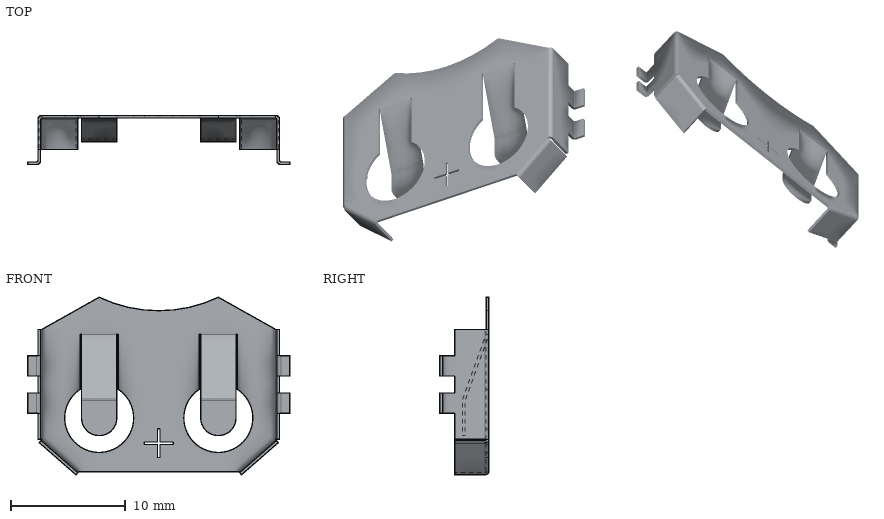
import cadquery as cq
import math

thickness = 0.25
inner_radius = 0.1
outer_radius = inner_radius + thickness

bottom_half_width = 7.0
half_width = 10.2
lower_corner_z = 2.8
wall_top_z = 12.44
peak_x = 5.2
peak_z = 15.245
arc_bottom_z = 14.07

wall_flap_gap = 0.04
wall_bottom_z = lower_corner_z + wall_flap_gap
wall_depth = 3.0
total_depth = 4.3
foot_reach = 11.45
foot_width = 1.8
foot_centers_z = (6.0, 9.25)

spring_x = peak_x
window_radius = 3.0
window_center_z = 4.7
slot_width = 3.3
slot_top_z = 12.0
tongue_width = 3.1
tongue_depth = 2.32
tongue_flat_top_z = 6.22

cross_length = 2.5
cross_width = 0.2
cross_center_z = 2.5


def plate_plane():
    """Sketch plane on the rear face: sketch axes are X and Z, extrusion runs towards -Y."""
    return cq.Workplane("XZ")


def point_on_circle(center, radius, angle):
    """Point on a circle at the given angle, in radians."""
    return (center[0] + radius * math.cos(angle), center[1] + radius * math.sin(angle))


def make_plate():
    return (
        plate_plane()
        .moveTo(-bottom_half_width, 0)
        .lineTo(bottom_half_width, 0)
        .lineTo(half_width, lower_corner_z)
        .lineTo(half_width, wall_top_z)
        .lineTo(peak_x, peak_z)
        .threePointArc((0, arc_bottom_z), (-peak_x, peak_z))
        .lineTo(-half_width, wall_top_z)
        .lineTo(-half_width, lower_corner_z)
        .close()
        .extrude(thickness)
    )


def make_window(center_x):
    circle = plate_plane().center(center_x, window_center_z).circle(window_radius).extrude(thickness)
    slot_height = slot_top_z - window_center_z
    slot = (
        plate_plane()
        .center(center_x, window_center_z + slot_height / 2)
        .rect(slot_width, slot_height)
        .extrude(thickness)
    )
    return circle.union(slot)


def make_cross():
    center = plate_plane().center(0, cross_center_z)
    upright = center.rect(cross_width, cross_length).extrude(thickness)
    level = center.rect(cross_length, cross_width).extrude(thickness)
    return upright.union(level)


def edge_plane(start, end):
    """Plane across a plate edge: local x points out of the plate, local y towards -Y."""
    length = math.dist(start, end)
    along_x = (end[0] - start[0]) / length
    along_z = (end[1] - start[1]) / length
    return cq.Plane(
        origin=(start[0], 0, start[1]),
        xDir=(-along_z, 0, along_x),
        normal=(along_x, 0, along_z),
    )


def make_flange(start, end):
    """Wall bent forward by 90 degrees along the plate edge from start to end."""
    bend_center = (0, outer_radius)
    wall_inside = inner_radius
    middle_angle = -math.pi / 4
    return (
        cq.Workplane(edge_plane(start, end))
        .moveTo(0, 0)
        .threePointArc(point_on_circle(bend_center, outer_radius, middle_angle), (outer_radius, outer_radius))
        .lineTo(outer_radius, wall_depth)
        .lineTo(wall_inside, wall_depth)
        .lineTo(wall_inside, outer_radius)
        .threePointArc(point_on_circle(bend_center, inner_radius, middle_angle), (0, thickness))
        .close()
        .extrude(math.dist(start, end))
    )


def make_foot(center_z):
    """Solder foot: runs on forward from the right wall, then bends outward by 90 degrees."""
    top = (half_width, center_z + foot_width / 2)
    bottom = (half_width, center_z - foot_width / 2)
    wall_inside = inner_radius
    wall_outside = outer_radius
    bend_center = (wall_outside + inner_radius, total_depth - outer_radius)
    reach = foot_reach - half_width
    middle_angle = 3 * math.pi / 4
    return (
        cq.Workplane(edge_plane(top, bottom))
        .moveTo(wall_outside, wall_depth)
        .lineTo(wall_outside, bend_center[1])
        .threePointArc(
            point_on_circle(bend_center, inner_radius, middle_angle),
            (bend_center[0], total_depth - thickness),
        )
        .lineTo(reach, total_depth - thickness)
        .lineTo(reach, total_depth)
        .lineTo(bend_center[0], total_depth)
        .threePointArc(
            point_on_circle(bend_center, outer_radius, middle_angle),
            (wall_inside, bend_center[1]),
        )
        .lineTo(wall_inside, wall_depth)
        .close()
        .extrude(foot_width)
    )


def make_tongue_strip(center_x):
    """Strip of sheet that leans forward from the slot top, then runs parallel to the plate."""
    tip_z = window_center_z - tongue_width / 2
    upper_center = (-outer_radius, slot_top_z)
    lower_center = (outer_radius - tongue_depth, tongue_flat_top_z)

    step_y = lower_center[0] - upper_center[0]
    drop = upper_center[1] - lower_center[1]
    tilt = math.asin((inner_radius + outer_radius) / math.hypot(step_y, drop)) - math.atan2(step_y, drop)
    lower_start = math.pi - tilt
    lower_middle = math.pi - tilt / 2

    return (
        cq.Workplane("YZ", origin=(center_x, 0, 0))
        .moveTo(0, slot_top_z)
        .threePointArc(
            point_on_circle(upper_center, outer_radius, -tilt / 2),
            point_on_circle(upper_center, outer_radius, -tilt),
        )
        .lineTo(*point_on_circle(lower_center, inner_radius, lower_start))
        .threePointArc(
            point_on_circle(lower_center, inner_radius, lower_middle),
            (thickness - tongue_depth, tongue_flat_top_z),
        )
        .lineTo(thickness - tongue_depth, tip_z)
        .lineTo(-tongue_depth, tip_z)
        .lineTo(-tongue_depth, tongue_flat_top_z)
        .threePointArc(
            point_on_circle(lower_center, outer_radius, lower_middle),
            point_on_circle(lower_center, outer_radius, lower_start),
        )
        .lineTo(*point_on_circle(upper_center, inner_radius, -tilt))
        .threePointArc(
            point_on_circle(upper_center, inner_radius, -tilt / 2),
            (-thickness, slot_top_z),
        )
        .close()
        .extrude(tongue_width / 2, both=True)
    )


def make_tongue(center_x):
    """Spring tongue: the bent strip, trimmed to a half-round tip centered in the window."""
    half_tongue = tongue_width / 2
    silhouette = (
        plate_plane()
        .moveTo(center_x - half_tongue, slot_top_z)
        .lineTo(center_x - half_tongue, window_center_z)
        .threePointArc(
            (center_x, window_center_z - half_tongue),
            (center_x + half_tongue, window_center_z),
        )
        .lineTo(center_x + half_tongue, slot_top_z)
        .close()
        .extrude(tongue_depth)
    )
    return make_tongue_strip(center_x).intersect(silhouette)


def make_side_parts():
    """Wall, corner flap and feet of the right-hand side."""
    wall_top = (half_width, wall_top_z)
    wall_bottom = (half_width, wall_bottom_z)
    flap_top = (half_width, lower_corner_z)
    flap_bottom = (bottom_half_width, 0)
    side = make_flange(wall_top, wall_bottom).union(make_flange(flap_top, flap_bottom))
    for center_z in foot_centers_z:
        side = side.union(make_foot(center_z))
    return side


right_side = make_side_parts()
result = make_plate().cut(make_cross()).union(right_side).union(right_side.mirror("YZ"))
for center_x in (-spring_x, spring_x):
    result = result.cut(make_window(center_x)).union(make_tongue(center_x))